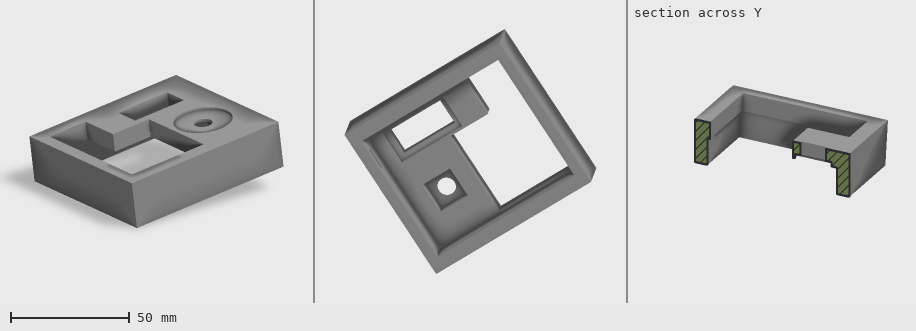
import cadquery as cq


TILT_ANGLE = 7.5
KEY_PITCH = 19.05
KEY_COLUMNS = 3
KEY_RIM_X = 7.0
BODY_WIDTH = KEY_COLUMNS * KEY_PITCH + 2 * KEY_RIM_X
BODY_LENGTH = 78.06
BODY_HEIGHT = 20.89
TOP_THICKNESS = 8.1

KEY_LEDGE = 1.0
KEY_RIM_FRONT = 5.5
SIDE_WALL = KEY_RIM_X - KEY_LEDGE
END_WALL = KEY_RIM_FRONT - KEY_LEDGE

KEYS_LEFT = -KEY_COLUMNS * KEY_PITCH / 2
KEYS_RIGHT = -KEYS_LEFT
KEYS_FRONT = -BODY_LENGTH / 2 + KEY_RIM_FRONT

WINDOW_WIDTH = 11.6
WINDOW_LENGTH = 26.0
WINDOW_CENTER_X = -18.8
WINDOW_CENTER_Y = 12.95
WINDOW_THICKNESS = 6.0
MODULE_CLEARANCE = 2.5

DIAL_DIAMETER = 25.1
DIAL_DEPTH = 1.3
SHAFT_DIAMETER = 7.9
SHAFT_FLOOR_DEPTH = 2.5
ENCODER_SIZE = 14.0
DIAL_X = 9.2
DIAL_Y = 19.07

CABLE_SLOT_WIDTH = 9.1
CABLE_SLOT_HEIGHT = 2.0
CABLE_SLOT_X = -19.2
CABLE_SLOT_ABOVE_BOTTOM = 4.9

TOP_Z = BODY_HEIGHT / 2
BOTTOM_Z = -BODY_HEIGHT / 2


def centered_block(width, length, center_x, center_y, depth):
    """Block from the given depth below the top face down to the bottom face."""
    return (
        cq.Workplane("XY", origin=(center_x, center_y, BOTTOM_Z))
        .rect(width, length)
        .extrude(BODY_HEIGHT - depth)
    )


def cavity():
    width = BODY_WIDTH - 2 * SIDE_WALL
    length = BODY_LENGTH - 2 * END_WALL
    return centered_block(width, length, 0, 0, TOP_THICKNESS)


def key_opening():
    """Full front row of keys, and a second row without its left key."""
    second_row_left = KEYS_LEFT + KEY_PITCH
    row_split = KEYS_FRONT + KEY_PITCH
    keys_back = KEYS_FRONT + 2 * KEY_PITCH
    outline = [
        (KEYS_LEFT, KEYS_FRONT),
        (KEYS_RIGHT, KEYS_FRONT),
        (KEYS_RIGHT, keys_back),
        (second_row_left, keys_back),
        (second_row_left, row_split),
        (KEYS_LEFT, row_split),
    ]
    return cq.Workplane("XY", origin=(0, 0, BOTTOM_Z)).polyline(outline).close().extrude(BODY_HEIGHT)


def display_window():
    window = centered_block(WINDOW_WIDTH, WINDOW_LENGTH, WINDOW_CENTER_X, WINDOW_CENTER_Y, 0)
    pocket = centered_block(
        WINDOW_WIDTH + 2 * MODULE_CLEARANCE,
        WINDOW_LENGTH + 2 * MODULE_CLEARANCE,
        WINDOW_CENTER_X,
        WINDOW_CENTER_Y,
        WINDOW_THICKNESS,
    )
    return window.union(pocket)


def dial_seat():
    top_plane = cq.Workplane("XY", origin=(DIAL_X, DIAL_Y, TOP_Z))
    recess = top_plane.circle(DIAL_DIAMETER / 2).extrude(-DIAL_DEPTH)
    shaft_hole = top_plane.circle(SHAFT_DIAMETER / 2).extrude(-TOP_THICKNESS)
    pocket = centered_block(ENCODER_SIZE, ENCODER_SIZE, DIAL_X, DIAL_Y, SHAFT_FLOOR_DEPTH)
    return recess.union(shaft_hole).union(pocket)


def cable_slot():
    wall_center_y = BODY_LENGTH / 2 - END_WALL / 2
    slot_z = BOTTOM_Z + CABLE_SLOT_ABOVE_BOTTOM
    cutter_length = 2 * END_WALL
    return cq.Workplane("XY", origin=(CABLE_SLOT_X, wall_center_y, slot_z)).box(
        CABLE_SLOT_WIDTH, cutter_length, CABLE_SLOT_HEIGHT
    )


body = cq.Workplane("XY").box(BODY_WIDTH, BODY_LENGTH, BODY_HEIGHT)
for cutter in (cavity(), key_opening(), display_window(), dial_seat(), cable_slot()):
    body = body.cut(cutter)

result = body.rotate((0, 0, 0), (1, 0, 0), TILT_ANGLE)